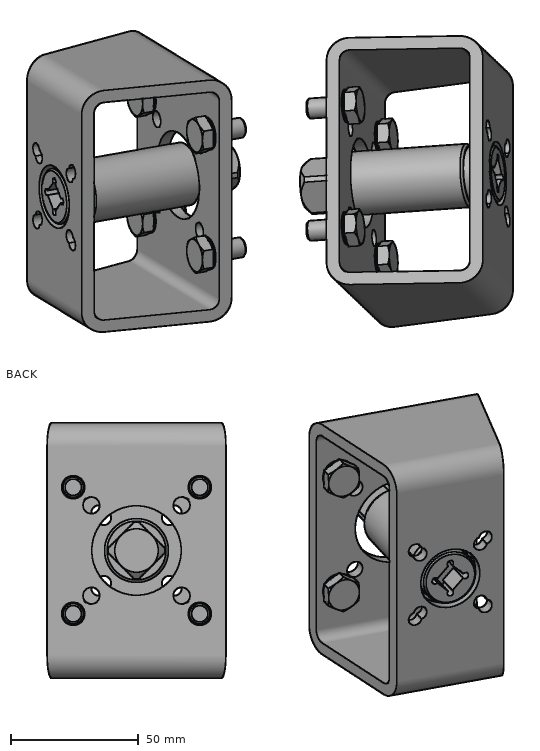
import cadquery as cq
import math


BRACKET_DEPTH = 60.0
BRACKET_HEIGHT = 100.0
BACK_WIDTH = 70.0
SIDE_TAPER = 11.6
WALL = 5.0
OUTER_RADIUS = 9.0
INNER_RADIUS = OUTER_RADIUS - WALL
INNER_BACK_Y = BRACKET_DEPTH - WALL

FRONT_BORE = 25.0
FRONT_HOLE = 5.5
FRONT_HOLE_CIRCLES = (36.0, 42.0)
BACK_BORE = 35.0
BACK_HOLE = 6.5
BACK_HOLE_CIRCLE = 50.0
BOLT_HOLE = 9.0
BOLT_CIRCLE = 70.0

STEM_FRONT_Y = 0.0
JOURNAL_DIAMETER = 22.0
JOURNAL_CHAMFER = 0.7
BARREL_DIAMETER = 25.0
BARREL_FRONT_Y = 11.0
BARREL_CHAMFER = 1.0
BARREL_BACK_Y = 59.0
DRIVE_LENGTH = 18.0
DRIVE_FLATS = 17.0
DRIVE_CORNER_DIAMETER = 22.0
DRIVE_CHAMFER = (DRIVE_CORNER_DIAMETER - DRIVE_FLATS) / 2
SOCKET_FLATS = 9.0
SOCKET_DEPTH = 10.0
RELIEF_DIAMETER = 2.6

WASHER_THICKNESS = 0.6
WASHER_DIAMETER = 13.0
WASHER_HOLE = 8.4
BOLT_DIAMETER = 8.0
BOLT_LENGTH = 15.8
BOLT_TIP_CHAMFER = 0.8
HEAD_HEIGHT = 5.4
HEAD_FLATS = 13.0
HEAD_CORNERS = HEAD_FLATS / math.cos(math.radians(30))
HEAD_CHAMFER_ANGLE = 30.0
BEARING_FACE_DIAMETER = 11.6
BEARING_FACE_HEIGHT = 0.5


def plane_at(y):
    """Sketch plane across the Y axis: X to the right, Z up, extruding toward -Y."""
    return cq.Workplane("XZ", origin=(0, y, 0))


def rod(diameter, y_start, y_end):
    """Cylinder on the Y axis."""
    return plane_at(y_start).circle(diameter / 2).extrude(y_start - y_end)


def diagonal_points(circle_diameter):
    """Four points on the diagonals of a pitch circle."""
    offset = circle_diameter / 2 * math.sqrt(0.5)
    return [(sx * offset, sz * offset) for sx in (-1, 1) for sz in (-1, 1)]


def square_prism(flats, y_start, y_end):
    """Square prism on the Y axis, turned to stand on a corner."""
    prism = plane_at(y_start).rect(flats, flats).extrude(y_start - y_end)
    return prism.rotate((0, 0, 0), (0, 1, 0), 45)


def drill(body, diameter, points, y_start, y_end):
    """Cut holes along Y at the given (X, Z) points."""
    holes = plane_at(y_start).pushPoints(points).circle(diameter / 2).extrude(y_start - y_end)
    return body.cut(holes)


def tube_block(inset, radius):
    """Rounded rectangular block along X, set in from the outside of the bracket."""
    depth = BRACKET_DEPTH - 2 * inset
    height = BRACKET_HEIGHT - 2 * inset
    block = cq.Workplane("XY").box(BACK_WIDTH, depth, height).edges("|X").fillet(radius)
    return block.translate((0, BRACKET_DEPTH / 2, 0))


def make_bracket():
    tube = tube_block(0, OUTER_RADIUS).cut(tube_block(WALL, INNER_RADIUS))

    half_back = BACK_WIDTH / 2
    half_front = half_back - BRACKET_DEPTH * math.tan(math.radians(SIDE_TAPER))
    taper = (
        cq.Workplane("XY")
        .polyline([
            (-half_front, 0),
            (half_front, 0),
            (half_back, BRACKET_DEPTH),
            (-half_back, BRACKET_DEPTH),
        ])
        .close()
        .extrude(BRACKET_HEIGHT / 2, both=True)
    )
    bracket = tube.intersect(taper)

    bracket = drill(bracket, FRONT_BORE, [(0, 0)], 0, WALL)
    for circle in FRONT_HOLE_CIRCLES:
        bracket = drill(bracket, FRONT_HOLE, diagonal_points(circle), 0, WALL)

    bracket = drill(bracket, BACK_BORE, [(0, 0)], INNER_BACK_Y, BRACKET_DEPTH)
    bracket = drill(bracket, BACK_HOLE, diagonal_points(BACK_HOLE_CIRCLE), INNER_BACK_Y, BRACKET_DEPTH)
    return drill(bracket, BOLT_HOLE, diagonal_points(BOLT_CIRCLE), INNER_BACK_Y, BRACKET_DEPTH)


def make_stem():
    journal = rod(JOURNAL_DIAMETER, STEM_FRONT_Y, BARREL_FRONT_Y).faces("<Y").chamfer(JOURNAL_CHAMFER)

    barrel = rod(BARREL_DIAMETER, BARREL_FRONT_Y, BARREL_BACK_Y)
    barrel = barrel.faces("<Y or >Y").chamfer(BARREL_CHAMFER)

    drive_end_y = BRACKET_DEPTH + DRIVE_LENGTH
    drive_envelope = rod(DRIVE_CORNER_DIAMETER, BARREL_BACK_Y, drive_end_y).faces(">Y").chamfer(DRIVE_CHAMFER)
    drive = square_prism(DRIVE_FLATS, BARREL_BACK_Y, drive_end_y).intersect(drive_envelope)

    socket_end_y = STEM_FRONT_Y + SOCKET_DEPTH
    corner = SOCKET_FLATS * math.sqrt(0.5)
    corner_points = [(corner, 0), (-corner, 0), (0, corner), (0, -corner)]
    stem = journal.union(barrel).union(drive)
    stem = stem.cut(square_prism(SOCKET_FLATS, STEM_FRONT_Y, socket_end_y))
    return drill(stem, RELIEF_DIAMETER, corner_points, STEM_FRONT_Y, socket_end_y)


def make_washer(x, z):
    washer = rod(WASHER_DIAMETER, INNER_BACK_Y - WASHER_THICKNESS, INNER_BACK_Y)
    washer = drill(washer, WASHER_HOLE, [(0, 0)], INNER_BACK_Y - WASHER_THICKNESS, INNER_BACK_Y)
    return washer.translate((x, 0, z))


def make_bolt(x, z):
    seat_y = INNER_BACK_Y - WASHER_THICKNESS
    hex_y = seat_y - BEARING_FACE_HEIGHT
    top_y = seat_y - HEAD_HEIGHT

    hexagon = plane_at(hex_y).polygon(6, HEAD_CORNERS).extrude(hex_y - top_y)
    hexagon = hexagon.rotate((0, 0, 0), (0, 1, 0), 30)
    chamfer_width = (HEAD_CORNERS - HEAD_FLATS) / 2
    chamfer_height = chamfer_width * math.tan(math.radians(HEAD_CHAMFER_ANGLE))
    envelope = rod(HEAD_CORNERS, hex_y, top_y).faces("<Y").chamfer(chamfer_height, chamfer_width)
    head = hexagon.intersect(envelope)

    bearing_face = rod(BEARING_FACE_DIAMETER, hex_y, seat_y)
    shank = rod(BOLT_DIAMETER, hex_y, seat_y + BOLT_LENGTH).faces(">Y").chamfer(BOLT_TIP_CHAMFER)
    return head.union(bearing_face).union(shank).translate((x, 0, z))


bracket = make_bracket()
stem = make_stem()
washers = []
bolts = []
for bolt_x, bolt_z in diagonal_points(BOLT_CIRCLE):
    washers.append(make_washer(bolt_x, bolt_z).val())
    bolts.append(make_bolt(bolt_x, bolt_z).val())

result = cq.Compound.makeCompound([bracket.val(), stem.val(), *washers, *bolts])